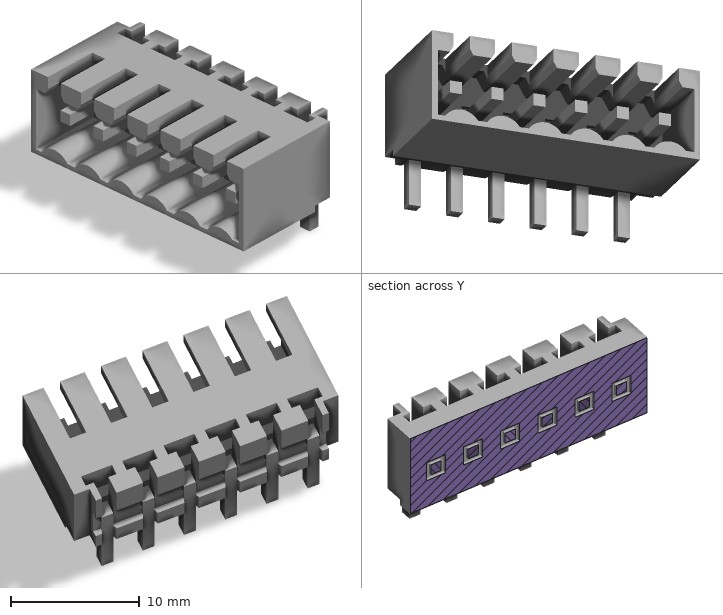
import cadquery as cq


contact_count = 6
pitch = 3.5
contact_positions = [(i - (contact_count - 1) / 2) * pitch for i in range(contact_count)]

length = 22.4
height = 7.44
overall_height = 10.65
depth = 11.05
rear_block_depth = 1.16
rear_block_inset = 1.32
foot_relief_height = 0.55
foot_relief_depth = 2.9

end_wall = 0.5
roof_thickness = 1.6
floor_thickness = 0.43
raised_floor_thickness = 0.55
cavity_depth = 6.6
key_roof_thickness = 0.55
key_top_width = 0.76
key_base_width = 1.97
floor_ridge_width = 2.73
floor_ridge_height = 0.72

front_slot_width = 1.4
front_slot_length = 5.06
pocket_width = 2.62
pocket_length = 0.9
pocket_rear_offset = 1.57
rear_slot_width = 1.23
rear_notch_depth = 0.5
pocket_depth = 2.62
rear_notch_height = 2.67
rear_notch_top = height - pocket_depth
rear_notch_bottom = rear_notch_top - rear_notch_height

pin_width = 1.0
pin_front = 1.23
pin_rear_inset = 0.34
pin_drop = 3.45
pin_top = height - pin_drop
pin_underside = pin_top - pin_width
pin_tip = height - overall_height
pin_rear = depth - pin_rear_inset
pin_recess_width = 1.75
pin_recess_depth = 0.45


def block(x_range, y_range, z_range):
    """Box between the given limits along each axis."""
    (x0, x1), (y0, y1), (z0, z1) = x_range, y_range, z_range
    return cq.Workplane("XY").box(x1 - x0, y1 - y0, z1 - z0, centered=False).translate((x0, y0, z0))


def centred_block(x_middle, width, y_range, z_range):
    """Box of the given width, centred on x_middle."""
    return block((x_middle - width / 2, x_middle + width / 2), y_range, z_range)


def housing_blank():
    """Main box with a narrower block along its rear and a relief under its rear edge."""
    main = centred_block(0, length, (0, depth - rear_block_depth), (0, height))
    rear_block = centred_block(0, length - 2 * rear_block_inset, (0, depth), (0, height))
    relief = centred_block(0, length, (depth - foot_relief_depth, depth), (0, foot_relief_height))
    return main.union(rear_block).cut(relief)


def key_groove(x):
    """Tapered groove in the cavity roof above one pin."""
    roof = height - roof_thickness
    top = height - key_roof_thickness
    return (
        cq.Workplane("XZ")
        .moveTo(x - key_base_width / 2, roof)
        .lineTo(x - key_top_width / 2, top)
        .lineTo(x + key_top_width / 2, top)
        .lineTo(x + key_base_width / 2, roof)
        .close()
        .extrude(-cavity_depth)
    )


def floor_ridge(x):
    """Rounded ridge along the cavity floor below one pin."""
    return (
        cq.Workplane("XZ")
        .moveTo(x - floor_ridge_width / 2, floor_thickness)
        .threePointArc(
            (x, floor_thickness + floor_ridge_height),
            (x + floor_ridge_width / 2, floor_thickness),
        )
        .close()
        .extrude(-cavity_depth)
    )


def cavity():
    """Front cavity with a groove above and a ridge below each pin, and a raised floor at the +X end."""
    inner_end = length / 2 - end_wall
    y_range = (0, cavity_depth)
    space = block((-inner_end, inner_end), y_range, (floor_thickness, height - roof_thickness))
    raised_floor = block(
        (contact_positions[-1], inner_end), y_range, (floor_thickness, raised_floor_thickness)
    )
    space = space.cut(raised_floor)
    for x in contact_positions:
        space = space.union(key_groove(x)).cut(floor_ridge(x))
    return space


def front_slot(x):
    """Slot through the cavity roof, open at the front."""
    return centred_block(x, front_slot_width, (0, front_slot_length), (pin_top, height))


def pin_recess(x):
    """Square recess around the pin in the back wall of the cavity."""
    margin = (pin_recess_width - pin_width) / 2
    return centred_block(
        x,
        pin_recess_width,
        (cavity_depth, cavity_depth + pin_recess_depth),
        (pin_underside - margin, pin_top + margin),
    )


def rear_pocket(x):
    """Wide pocket in the top and the narrower slot that opens it to the rear."""
    pocket_rear = depth - pocket_rear_offset
    wide = centred_block(
        x, pocket_width, (pocket_rear - pocket_length, pocket_rear), (rear_notch_top, height)
    )
    slot = centred_block(x, rear_slot_width, (pocket_rear, depth), (pin_underside, height))
    return wide.union(slot)


def leg_lead_in(x):
    """Tapered opening from the rear face to the pin leg, below the rear notch."""
    return (
        cq.Workplane("XY")
        .moveTo(x - rear_slot_width / 2, depth)
        .lineTo(x + rear_slot_width / 2, depth)
        .lineTo(x + pin_width / 2, pin_rear)
        .lineTo(x - pin_width / 2, pin_rear)
        .close()
        .extrude(rear_notch_bottom)
    )


def make_pin(x):
    """Square L-shaped pin: a forward arm and a leg that goes down out of the housing."""
    arm = centred_block(x, pin_width, (pin_front, pin_rear), (pin_underside, pin_top))
    leg = centred_block(x, pin_width, (pin_rear - pin_width, pin_rear), (pin_tip, pin_top))
    return arm.union(leg)


def make_housing(pins):
    """Housing with its cavity and openings, cut to fit the pins."""
    body = housing_blank().cut(cavity())
    rear_notch = centred_block(
        0, length, (depth - rear_notch_depth, depth), (rear_notch_bottom, rear_notch_top)
    )
    body = body.cut(rear_notch)
    for x, pin in zip(contact_positions, pins):
        body = body.cut(front_slot(x)).cut(pin_recess(x)).cut(rear_pocket(x)).cut(leg_lead_in(x))
        body = body.cut(pin)
    return body


pins = [make_pin(x) for x in contact_positions]
housing = make_housing(pins)

result = cq.Compound.makeCompound([housing.val(), *[pin.val() for pin in pins]])